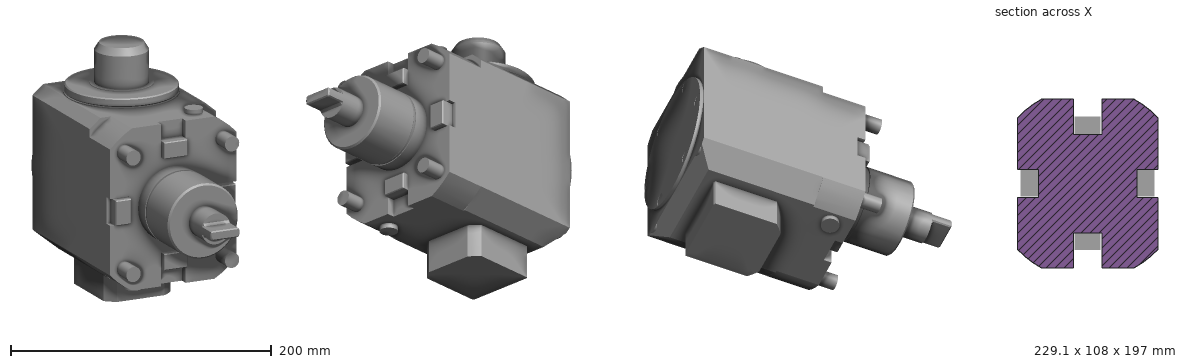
import cadquery as cq
import math


body_length = 135.1
body_width = 108.0
body_height = 130.0
top_chamfer_y = 9.2
top_chamfer_z = 7.8
bottom_chamfer_y = 17.0
bottom_chamfer_z = 14.7
nose_chamfer = 11.2
turned_length = 35.3
turned_radius = 74.0

cover_radius = 53.4
cover_thickness = 3.0
cover_screw_radius = 5.0
cover_screw_circle = 47.9
cover_screw_count = 6
cover_screw_recess = 0.2

spindle_x = -89.8
base_ring_radius = 44.7
base_ring_height = 1.0
flange_radius = 44.0
flange_height = 7.8
flange_chamfer = 1.0
collar_radius = 25.0
collar_height = 8.2
stub_radius = 21.0
stub_top = 105.4
stub_chamfer_height = 5.7
stub_chamfer_width = 3.7
plug_radius = 6.0
plug_reach = 21.3
plug_z = 80.5

block_bottom = -91.6
block_start = -115.2
block_end = -56.3
block_width = 57.3
block_round_radius = 39.2
block_chamfer_x = 1.0
block_chamfer_y = 1.5

pin_radius = 7.0
pin_x = -17.2
pin_y = 25.9
pin_protrusion = 4.0

bolt_radius = 12.1 / 2
bolt_protrusion = 16.7
bolt_y = 42.1
bolt_z = 46.7
bolt_head_radius = 9.0
bolt_head_length = 6.9

key_half_width = 10.0
key_inner = 38.0
key_outer = 51.3
key_protrusion = 4.8
key_chamfer = 0.7
slot_depth = 6.5
slot_clearance = 0.57

shank_radius = 30.0
shank_length = 52.5
shank_chamfer = 1.4
groove_start = 12.0
groove_step = 13.7
groove_end = 14.7
groove_radius = 29.3
groove_deep_radius = 28.6
neck_radius = 12.4
neck_end = 74.5
tang_end = 91.0
tang_half_thickness = 7.5 / 2
tang_flat_half_width = 10.8
tang_bevel = 1.0
tang_end_chamfer = 1.0
tang_root_chamfer = 1.8

half_width = body_width / 2
half_height = body_height / 2


def x_cylinder(radius, start, end, y=0.0, z=0.0):
    """Cylinder along X, centred at (y, z)."""
    return cq.Workplane("YZ", origin=(start, 0, 0)).center(y, z).circle(radius).extrude(end - start)


def z_cylinder(radius, bottom, top, x, y=0.0):
    """Cylinder along Z, centred at (x, y)."""
    return cq.Workplane("XY", origin=(x, y, bottom)).circle(radius).extrude(top - bottom)


def make_housing():
    outline = [
        (-half_width + bottom_chamfer_y, -half_height),
        (half_width - bottom_chamfer_y, -half_height),
        (half_width, -half_height + bottom_chamfer_z),
        (half_width, half_height - top_chamfer_z),
        (half_width - top_chamfer_y, half_height),
        (-half_width + top_chamfer_y, half_height),
        (-half_width, half_height - top_chamfer_z),
        (-half_width, -half_height + bottom_chamfer_z),
    ]
    front_length = body_length - turned_length
    front = cq.Workplane("YZ", origin=(-body_length, 0, 0)).polyline(outline).close()
    front = front.extrude(front_length)
    front = front.faces("<X").edges("<Z").chamfer(nose_chamfer)
    turned = cq.Workplane("YZ", origin=(-turned_length, 0, 0)).rect(body_width, body_height)
    turned = turned.extrude(turned_length).intersect(x_cylinder(turned_radius, -turned_length, 0))
    return front.union(turned)


def make_cover():
    face_x = -body_length - cover_thickness
    cover = x_cylinder(cover_radius, face_x, -body_length + cover_thickness)
    for i in range(cover_screw_count):
        angle = 2 * math.pi * i / cover_screw_count
        y = cover_screw_circle * math.cos(angle)
        z = cover_screw_circle * math.sin(angle)
        cover = cover.cut(x_cylinder(cover_screw_radius, face_x, face_x + cover_screw_recess, y, z))
    return cover


def make_spindle():
    ring_top = half_height + base_ring_height
    flange_top = half_height + flange_height
    collar_top = half_height + collar_height
    profile = [
        (0, 0),
        (base_ring_radius, 0),
        (base_ring_radius, ring_top),
        (flange_radius - flange_chamfer, ring_top),
        (flange_radius, ring_top + flange_chamfer),
        (flange_radius, flange_top - flange_chamfer),
        (flange_radius - flange_chamfer, flange_top),
        (collar_radius, flange_top),
        (collar_radius, collar_top),
        (stub_radius, collar_top),
        (stub_radius, stub_top - stub_chamfer_height),
        (stub_radius - stub_chamfer_width, stub_top),
        (0, stub_top),
    ]
    spindle = cq.Workplane("XZ").polyline(profile).close().revolve(360, (0, 0, 0), (0, 1, 0))
    plug = x_cylinder(plug_radius, -plug_reach, 0, z=plug_z)
    return spindle.union(plug).translate((spindle_x, 0, 0))


def make_block():
    half = block_width / 2
    side_end = spindle_x + math.sqrt(block_round_radius**2 - half**2)
    end_half = math.sqrt(block_round_radius**2 - (block_end - spindle_x) ** 2)
    block = (
        cq.Workplane("XY", origin=(0, 0, block_bottom))
        .moveTo(block_start + block_chamfer_x, -half)
        .lineTo(side_end, -half)
        .radiusArc((block_end, -end_half), -block_round_radius)
        .lineTo(block_end, end_half)
        .radiusArc((side_end, half), -block_round_radius)
        .lineTo(block_start + block_chamfer_x, half)
        .lineTo(block_start, half - block_chamfer_y)
        .lineTo(block_start, -half + block_chamfer_y)
        .close()
    )
    return block.extrude(-block_bottom)


def make_pins():
    reach = half_height + pin_protrusion
    upper = z_cylinder(pin_radius, 0, reach, pin_x, pin_y)
    lower = z_cylinder(pin_radius, -reach, 0, pin_x, -pin_y)
    return upper.union(lower)


def make_bolts():
    bolts = cq.Workplane("XY")
    for y in (-bolt_y, bolt_y):
        for z in (-bolt_z, bolt_z):
            head = x_cylinder(bolt_head_radius, -body_length, -body_length + bolt_head_length, y, z)
            bolts = bolts.union(head)
            shaft = x_cylinder(bolt_radius, -turned_length, bolt_protrusion, y, z)
            bolts = bolts.union(shaft)
    return bolts


def make_key_slot():
    """Slot for the top key, open at the top and at the mounting face."""
    width = 2 * (key_half_width + slot_clearance)
    slot = cq.Workplane("XY", origin=(0, 0, key_inner))
    return slot.rect(2 * slot_depth, width).extrude(half_height - key_inner)


def make_key():
    key_start = slot_clearance - slot_depth
    length = key_protrusion - key_start
    height = key_outer - key_inner
    key = cq.Workplane("XY").box(length, 2 * key_half_width, height, centered=(False, True, False))
    key = key.faces(">X").chamfer(key_chamfer)
    return key.translate((key_start, 0, key_inner))


def make_shank():
    profile = [
        (-slot_depth, 0),
        (-slot_depth, shank_radius),
        (groove_start, shank_radius),
        (groove_start, groove_radius),
        (groove_step, groove_radius),
        (groove_step, groove_deep_radius),
        (groove_end, groove_deep_radius),
        (groove_end, shank_radius),
        (shank_length - shank_chamfer, shank_radius),
        (shank_length, shank_radius - shank_chamfer),
        (shank_length, neck_radius),
        (neck_end, neck_radius),
        (neck_end, 0),
    ]
    return cq.Workplane("XY").polyline(profile).close().revolve(360, (0, 0, 0), (1, 0, 0))


def make_tang():
    outline = [
        (tang_flat_half_width, tang_half_thickness),
        (neck_radius, tang_half_thickness - tang_bevel),
        (neck_radius, -tang_half_thickness + tang_bevel),
        (tang_flat_half_width, -tang_half_thickness),
    ]
    outline += [(-y, z) for y, z in reversed(outline)]
    plate = cq.Workplane("YZ", origin=(neck_end, 0, 0)).polyline(outline).close()
    plate = plate.extrude(tang_end - neck_end)
    plate = plate.intersect(x_cylinder(neck_radius, neck_end, tang_end))
    plate = plate.faces(">X").chamfer(tang_end_chamfer)
    root_half = tang_half_thickness + tang_root_chamfer
    root_profile = [
        (neck_end, -root_half),
        (neck_end + tang_root_chamfer, -tang_half_thickness),
        (neck_end + tang_root_chamfer, tang_half_thickness),
        (neck_end, root_half),
    ]
    root = cq.Workplane("XZ").polyline(root_profile).close().extrude(tang_flat_half_width, both=True)
    return plate.union(root)


result = make_housing().union(make_block()).union(make_pins()).union(make_bolts())
for quarter in range(4):
    turn = ((0, 0, 0), (1, 0, 0), 90 * quarter)
    result = result.cut(make_key_slot().rotate(*turn)).union(make_key().rotate(*turn))
result = result.union(make_cover()).union(make_spindle()).union(make_shank()).union(make_tang())